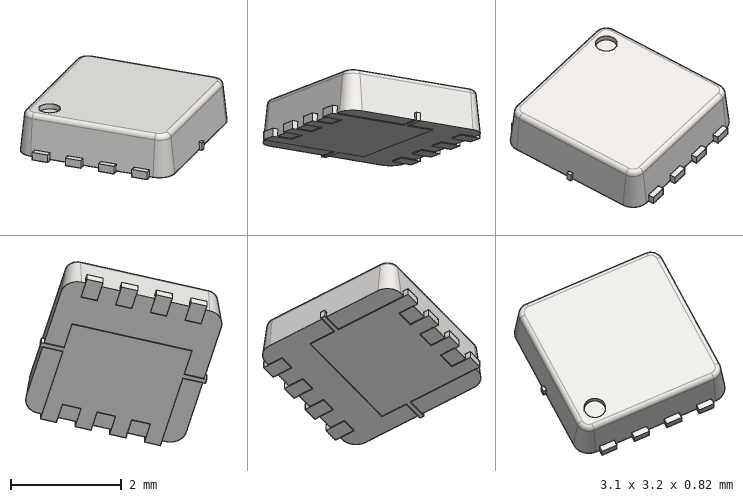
import cadquery as cq

body_side = 3.0
body_height = 0.8
body_corner_radius = 0.3
body_draft = 6.0
top_edge_radius = 0.1

standoff = 0.02
metal_thickness = 0.15

lead_count = 4
lead_pitch = 0.65
lead_width = 0.3
lead_length = 0.41
lead_span = 3.2

pad_width = (lead_count - 1) * lead_pitch + lead_width
pad_front_y = -0.57

tie_bar_span = 3.1
tie_bar_width = 0.09
tie_bar_y = 0.013

mark_diameter = 0.39
mark_depth = 0.1
mark_x = -1.01
mark_y = -1.06

body_top = standoff + body_height
lead_end_y = lead_span / 2


def metal_block(x_center, width, y_start, y_end):
    """Flat metal block resting on Z = 0."""
    block = cq.Workplane("XY").box(width, y_end - y_start, metal_thickness, centered=(True, False, False))
    return block.translate((x_center, y_start, 0))


def make_body():
    """Drafted block with rounded corners and a rounded top edge."""
    outline = cq.Sketch().rect(body_side, body_side).vertices().fillet(body_corner_radius)
    block = (
        cq.Workplane("XY", origin=(0, 0, standoff))
        .placeSketch(outline)
        .extrude(body_height, taper=body_draft)
    )
    return block.faces(">Z").edges().fillet(top_edge_radius)


def make_leads():
    """Matching rows of leads on the front and rear sides."""
    leads = cq.Workplane("XY")
    for index in range(lead_count):
        x = (index - (lead_count - 1) / 2) * lead_pitch
        leads = leads.add(metal_block(x, lead_width, -lead_end_y, lead_length - lead_end_y))
        leads = leads.add(metal_block(x, lead_width, lead_end_y - lead_length, lead_end_y))
    return leads.combine()


def make_pad():
    """Thermal pad with the narrow tie bar across it."""
    pad = metal_block(0, pad_width, pad_front_y, lead_end_y - lead_length)
    tie_bar = metal_block(0, tie_bar_span, tie_bar_y - tie_bar_width / 2, tie_bar_y + tie_bar_width / 2)
    return pad.union(tie_bar)


def make_mark():
    """Cutter for the round mark near the front left corner."""
    return (
        cq.Workplane("XY", origin=(mark_x, mark_y, body_top - mark_depth))
        .circle(mark_diameter / 2)
        .extrude(mark_depth)
    )


result = make_body().union(make_leads()).union(make_pad()).cut(make_mark())